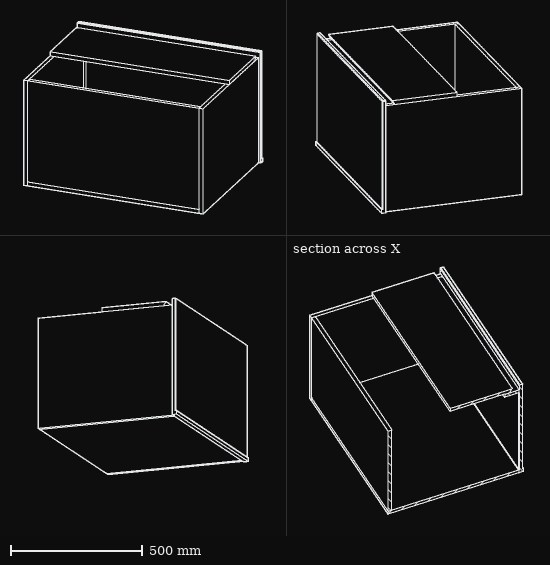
import cadquery as cq
import math

board = 17.0
case_width = 740.0
case_depth = 550.0
case_height = 435.0
inner_width = case_width - 2 * board

back_thickness = 3.0
back_side_gap = 12.0
rail_depth = 61.0

lid_front = 261.0
lid_back = 522.0
lid_bevel_angle = 30.0

door_width = 760.0
door_height = 460.0
door_thickness = 16.0
door_chamfer = 3.0
lip_depth = 3.0
lip_height = 15.0


def make_board(x_size, y_size, z_size, x_center, y_front, z_bottom):
    """A flat board placed by its centre in X, its front face and its underside."""
    flat_board = cq.Workplane("XY").box(x_size, y_size, z_size, centered=(True, False, False))
    return flat_board.translate((x_center, y_front, z_bottom))


def make_side(direction):
    x_center = direction * (case_width - board) / 2
    return make_board(board, case_depth, case_height, x_center, 0, 0)


def make_bottom():
    return make_board(inner_width, case_depth, board, 0, 0, 0)


def make_front():
    return make_board(inner_width, board, case_height - board, 0, 0, board)


def make_back():
    """The thin panel between the bottom and the rail, flush with the rear of the case."""
    back_width = inner_width - 2 * back_side_gap
    back_height = case_height - 2 * board
    return make_board(back_width, back_thickness, back_height, 0, case_depth - back_thickness, board)


def make_rail():
    return make_board(inner_width, rail_depth, board, 0, case_depth - rail_depth, case_height - board)


def make_lid():
    """The lid board, with its rear edge undercut."""
    bevel_length = board * math.tan(math.radians(lid_bevel_angle))
    lid_top = case_height + board
    profile = [
        (lid_front, case_height),
        (lid_back - bevel_length, case_height),
        (lid_back, lid_top),
        (lid_front, lid_top),
    ]
    return cq.Workplane("YZ").polyline(profile).close().extrude(case_width / 2, both=True)


def make_door():
    """The door panel, chamfered on all but its bottom edges, with a square lip at its lower rear."""
    panel = make_board(door_width, door_thickness, door_height, 0, case_depth, 0)
    panel = panel.edges("not <Z").chamfer(door_chamfer)
    lip_front = case_depth + door_thickness / 2
    lip_length = door_thickness / 2 + lip_depth
    lip = make_board(door_width, lip_length, lip_height, 0, lip_front, 0)
    return panel.union(lip)


sides = [make_side(direction) for direction in (-1, 1)]
bottom = make_bottom()
front = make_front()
back = make_back()
rail = make_rail()
lid = make_lid()
door = make_door()

bodies = [*sides, bottom, front, back, rail, lid, door]
result = cq.Compound.makeCompound([body.solids().val() for body in bodies])